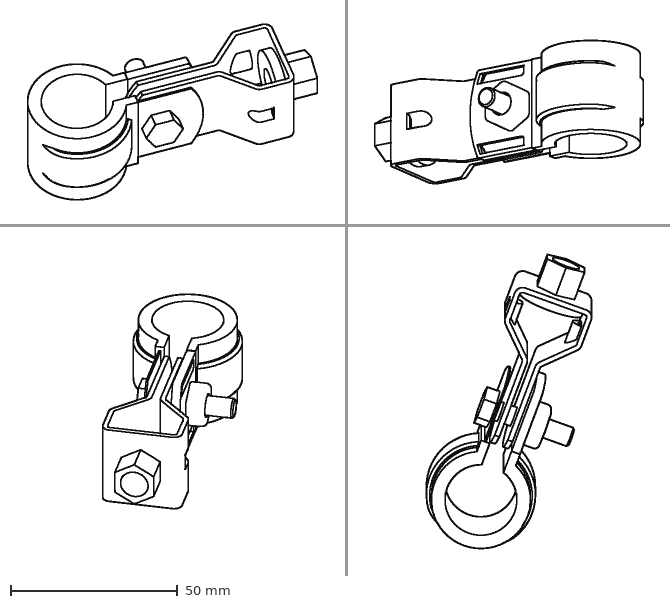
import cadquery as cq
import math

BORE_RADIUS = 10.8
RING_RADIUS = 14.9
RING_HEIGHT = 28.0
GAP_HALF_WIDTH = 3.5
LEG_THICKNESS = 2.8
STUB_END_Y = 17.2

BAND_RADIUS = 16.4
BAND_HEIGHT = 15.0
BAND_CHAMFER = 1.0
BAND_TAPER_START_Y = -8.0
BAND_TAPER_END_X = 6.5
BAND_TAPER_EMBED = 0.1
BAND_ROOT_RADIUS = 11.6

LEG_HEIGHT = 27.6
LEG_END_Y = 39.6
LEG_END_RADIUS = 35.0
LEG_CORNER_RADIUS = 1.0
LEG_RIM = 1.25
WINDOW_START_Y = 20.15
WINDOW_BOTTOM_Z = 9.5
WINDOW_CORNER_RADIUS = 1.0

STRIP_THICKNESS = 0.5
STRIP_HEIGHT = 25.05
STRIP_END_Y = 38.3
STRIP_END_RADIUS = 22.6

SHEET = 1.5
BRACKET_HEIGHT = 25.05
BRACKET_BACK_Y = 65.3
BRACKET_HALF_WIDTH = 12.2
NECK_HALF_WIDTH = 2.85
SHOULDER_Y = 53.5
SHOULDER_ANGLE = 45.0
ARM_END_Y = 15.2
ARM_END_RADIUS = 19.5
BEND_INNER_RADIUS = 1.0
BEND_OUTER_RADIUS = BEND_INNER_RADIUS + SHEET

DENT_INNER_DIAMETER = 4.9
DENT_OUTER_DIAMETER = 8.5
DENT_END_Y = 58.4
DENT_LENGTH = 10.7

BOSS_ACROSS_FLATS = 11.95
BOSS_LENGTH = 8.9
DISC_DIAMETER = 20.0
DISC_THICKNESS = 3.0
BOSS_NECK_DIAMETER = 10.5
BOSS_BORE_DIAMETER = 8.5

BOLT_Y = 24.7
BOLT_DIAMETER = 6.0
BOLT_TIP_DIAMETER = 4.9
BOLT_TIP_X = -19.9
HEAD_ACROSS_FLATS = 10.2
HEAD_THICKNESS = 4.0
NUT_ACROSS_FLATS = 13.0
NUT_THICKNESS = 5.3
NUT_FILLET = 1.5
NUT_BORE_DIAMETER = 7.0

leg_outer_x = GAP_HALF_WIDTH + LEG_THICKNESS
leg_middle_x = GAP_HALF_WIDTH + LEG_THICKNESS / 2
strip_outer_x = leg_middle_x + STRIP_THICKNESS / 2
strip_inner_x = leg_middle_x - STRIP_THICKNESS / 2
hoop_radius = (BORE_RADIUS + RING_RADIUS) / 2
COS_30 = math.cos(math.radians(30))


def upright_box(x_min, x_max, y_min, y_max, height):
    """Box centred on Z = 0."""
    size_x = x_max - x_min
    size_y = y_max - y_min
    return cq.Workplane("XY").box(size_x, size_y, height).translate(
        ((x_min + x_max) / 2, (y_min + y_max) / 2, 0)
    )


def upright_cylinder(radius, height):
    """Cylinder along Z at the origin, centred on Z = 0."""
    return cq.Workplane("XY", origin=(0, 0, -height / 2)).circle(radius).extrude(height)


def cylinder_x(diameter, x_min, x_max):
    """Cylinder along X on the bolt axis."""
    return (
        cq.Workplane("YZ", origin=(x_min, BOLT_Y, 0))
        .circle(diameter / 2)
        .extrude(x_max - x_min)
    )


def cylinder_y(diameter, y_min, y_max, x=0):
    """Cylinder along Y, centred on Z = 0."""
    return (
        cq.Workplane("XZ", origin=(x, y_max, 0))
        .circle(diameter / 2)
        .extrude(y_max - y_min)
    )


def arc_drop(radius, half_height):
    """How far an arc end falls back at a given distance from its crown."""
    return radius - math.sqrt(radius**2 - half_height**2)


def arc_ended_plate(x_min, x_max, y_flat, y_crown, radius, height):
    """Plate facing X with one straight end and one end bowed outward in Y."""
    half = height / 2
    toward_flat = math.copysign(1, y_flat - y_crown)
    y_corner = y_crown + toward_flat * arc_drop(radius, half)
    return (
        cq.Workplane("YZ", origin=(x_min, 0, 0))
        .moveTo(y_flat, -half)
        .lineTo(y_corner, -half)
        .threePointArc((y_crown, 0), (y_corner, half))
        .lineTo(y_flat, half)
        .close()
        .extrude(x_max - x_min)
    )


def make_strip():
    """Hoop inside the ring wall with a straight leg on each side of the gap."""
    hoop = upright_cylinder(hoop_radius + STRIP_THICKNESS / 2, STRIP_HEIGHT)
    hoop = hoop.cut(upright_cylinder(hoop_radius - STRIP_THICKNESS / 2, STRIP_HEIGHT))
    strip = hoop.cut(upright_box(-strip_inner_x, strip_inner_x, 0, RING_RADIUS, STRIP_HEIGHT))
    leg_start_y = math.sqrt(hoop_radius**2 - leg_middle_x**2)
    for x_min in (-strip_outer_x, strip_inner_x):
        strip = strip.union(
            arc_ended_plate(
                x_min, x_min + STRIP_THICKNESS, leg_start_y, STRIP_END_Y, STRIP_END_RADIUS, STRIP_HEIGHT
            )
        )
    return strip.cut(cylinder_x(BOLT_DIAMETER, -leg_outer_x, leg_outer_x))


def make_band():
    """Band on the +X flank: concentric with the ring, then curving in to meet it."""
    taper_start = (math.sqrt(BAND_RADIUS**2 - BAND_TAPER_START_Y**2), BAND_TAPER_START_Y)
    taper_end_radius = RING_RADIUS - BAND_TAPER_EMBED
    taper_end = (BAND_TAPER_END_X, -math.sqrt(taper_end_radius**2 - BAND_TAPER_END_X**2))
    root_scale = BAND_ROOT_RADIUS / taper_end_radius
    return (
        cq.Workplane("XY", origin=(0, 0, -BAND_HEIGHT / 2))
        .moveTo(leg_middle_x, math.sqrt(BAND_RADIUS**2 - leg_middle_x**2))
        .threePointArc((BAND_RADIUS, 0), taper_start)
        .tangentArcPoint(taper_end, relative=False)
        .lineTo(taper_end[0] * root_scale, taper_end[1] * root_scale)
        .threePointArc(
            (BAND_ROOT_RADIUS, 0), (leg_middle_x, math.sqrt(BAND_ROOT_RADIUS**2 - leg_middle_x**2))
        )
        .close()
        .extrude(BAND_HEIGHT)
        .faces("<Z or >Z")
        .chamfer(BAND_CHAMFER)
    )


def make_window():
    """Upper opening in the outer face of the leg, down to the strip's inner face."""
    window_top_z = LEG_HEIGHT / 2 - LEG_RIM
    window = arc_ended_plate(
        -leg_outer_x,
        -strip_inner_x,
        WINDOW_START_Y,
        LEG_END_Y - LEG_RIM,
        LEG_END_RADIUS - LEG_RIM,
        2 * window_top_z,
    )
    above = upright_box(
        -leg_outer_x, -strip_inner_x, WINDOW_START_Y, LEG_END_Y, window_top_z - WINDOW_BOTTOM_Z
    ).translate((0, 0, (window_top_z + WINDOW_BOTTOM_Z) / 2))
    return window.intersect(above).edges("|X").edges("<Y").edges("<Z").fillet(WINDOW_CORNER_RADIUS)


def make_ring(strip):
    ring = upright_cylinder(RING_RADIUS, RING_HEIGHT)
    band = make_band()
    for flank in (band, band.mirror("YZ")):
        ring = ring.union(flank)
    for x_min in (-leg_outer_x, GAP_HALF_WIDTH):
        ring = ring.union(upright_box(x_min, x_min + LEG_THICKNESS, 0, STUB_END_Y, RING_HEIGHT))
    ring = ring.cut(upright_cylinder(BORE_RADIUS, RING_HEIGHT))
    ring = ring.cut(upright_box(-GAP_HALF_WIDTH, GAP_HALF_WIDTH, 0, STUB_END_Y, RING_HEIGHT))
    return ring.cut(strip)


def make_leg(strip):
    leg = arc_ended_plate(
        -leg_outer_x, -GAP_HALF_WIDTH, STUB_END_Y, LEG_END_Y, LEG_END_RADIUS, LEG_HEIGHT
    )
    leg = leg.edges("|X").edges(">Y").fillet(LEG_CORNER_RADIUS)
    window = make_window()
    leg = leg.cut(window).cut(window.mirror("XY"))
    leg = leg.cut(cylinder_x(BOLT_DIAMETER, -leg_outer_x, -GAP_HALF_WIDTH))
    return leg.cut(strip)


def bracket_envelope(inset, convex_radius, concave_radius):
    """Filled bottle-shaped outline of the bracket, moved inward by the inset."""
    half_width = BRACKET_HALF_WIDTH - inset
    neck = NECK_HALF_WIDTH - inset
    shoulder_y = SHOULDER_Y + inset * math.tan(math.radians(SHOULDER_ANGLE / 2))
    neck_y = shoulder_y - (half_width - neck) / math.tan(math.radians(SHOULDER_ANGLE))
    back_y = BRACKET_BACK_Y - inset
    neck_bends = cq.selectors.BoxSelector(
        (-neck - SHEET, neck_y - SHEET, -SHEET), (neck + SHEET, neck_y + SHEET, SHEET)
    )
    return (
        cq.Workplane("XY")
        .polyline(
            [
                (neck, ARM_END_Y),
                (neck, neck_y),
                (half_width, shoulder_y),
                (half_width, back_y),
                (-half_width, back_y),
                (-half_width, shoulder_y),
                (-neck, neck_y),
                (-neck, ARM_END_Y),
            ]
        )
        .close()
        .extrude(BRACKET_HEIGHT / 2, both=True)
        .edges("|Z and (<X or >X)")
        .fillet(convex_radius)
        .edges(neck_bends)
        .fillet(concave_radius)
    )


def make_bracket():
    outside = bracket_envelope(0, BEND_OUTER_RADIUS, BEND_INNER_RADIUS)
    inside = bracket_envelope(SHEET, BEND_INNER_RADIUS, BEND_OUTER_RADIUS)
    bracket = outside.cut(inside)

    dent_start_y = DENT_END_Y - DENT_LENGTH
    for x in (-BRACKET_HALF_WIDTH, BRACKET_HALF_WIDTH):
        hump = cylinder_y(DENT_OUTER_DIAMETER, dent_start_y, DENT_END_Y, x)
        hollow = cylinder_y(DENT_INNER_DIAMETER, dent_start_y, DENT_END_Y, x)
        bracket = bracket.union(hump.intersect(outside)).cut(hollow)

    bowed_outline = arc_ended_plate(
        -BRACKET_HALF_WIDTH, BRACKET_HALF_WIDTH, BRACKET_BACK_Y, ARM_END_Y, ARM_END_RADIUS, BRACKET_HEIGHT
    )
    bracket = bracket.intersect(bowed_outline)
    bracket = bracket.cut(cylinder_x(BOLT_DIAMETER, -NECK_HALF_WIDTH, NECK_HALF_WIDTH))

    seat_y = BRACKET_BACK_Y - SHEET
    bracket = bracket.cut(cylinder_y(BOSS_NECK_DIAMETER, seat_y, BRACKET_BACK_Y))
    return bracket.cut(cylinder_y(DISC_DIAMETER, seat_y - DISC_THICKNESS, seat_y))


def make_boss():
    """Hexagon outside the bracket, neck through it and retaining disc inside, bored through."""
    end_y = BRACKET_BACK_Y + BOSS_LENGTH
    seat_y = BRACKET_BACK_Y - SHEET
    disc_face_y = seat_y - DISC_THICKNESS
    hexagon = (
        cq.Workplane("XZ", origin=(0, end_y, 0))
        .transformed(rotate=(0, 0, 90))
        .polygon(6, BOSS_ACROSS_FLATS / COS_30)
        .extrude(BOSS_LENGTH)
    )
    neck = cylinder_y(BOSS_NECK_DIAMETER, seat_y, BRACKET_BACK_Y)
    disc = cylinder_y(DISC_DIAMETER, disc_face_y, seat_y)
    bore = cylinder_y(BOSS_BORE_DIAMETER, disc_face_y, end_y)
    return hexagon.union(neck).union(disc).cut(bore)


def make_bolt():
    tip_chamfer = (BOLT_DIAMETER - BOLT_TIP_DIAMETER) / 2
    shank = cylinder_x(BOLT_DIAMETER, BOLT_TIP_X, strip_outer_x).faces("<X").chamfer(tip_chamfer)
    head = (
        cq.Workplane("YZ", origin=(strip_outer_x, BOLT_Y, 0))
        .polygon(6, HEAD_ACROSS_FLATS / COS_30)
        .extrude(HEAD_THICKNESS)
    )
    return shank.union(head)


def make_nut():
    nut = (
        cq.Workplane("YZ", origin=(-leg_outer_x, BOLT_Y, 0))
        .transformed(rotate=(0, 0, 90))
        .polygon(6, NUT_ACROSS_FLATS / COS_30)
        .extrude(-NUT_THICKNESS)
        .edges("|X or <X")
        .fillet(NUT_FILLET)
    )
    return nut.cut(cylinder_x(NUT_BORE_DIAMETER, -leg_outer_x - NUT_THICKNESS, -leg_outer_x))


strip = make_strip()
ring = make_ring(strip)
leg = make_leg(strip)
bracket = make_bracket()
boss = make_boss()
bolt = make_bolt()
nut = make_nut()

result = cq.Compound.makeCompound(
    [ring.val(), leg.val(), strip.val(), bracket.val(), boss.val(), bolt.val(), nut.val()]
)